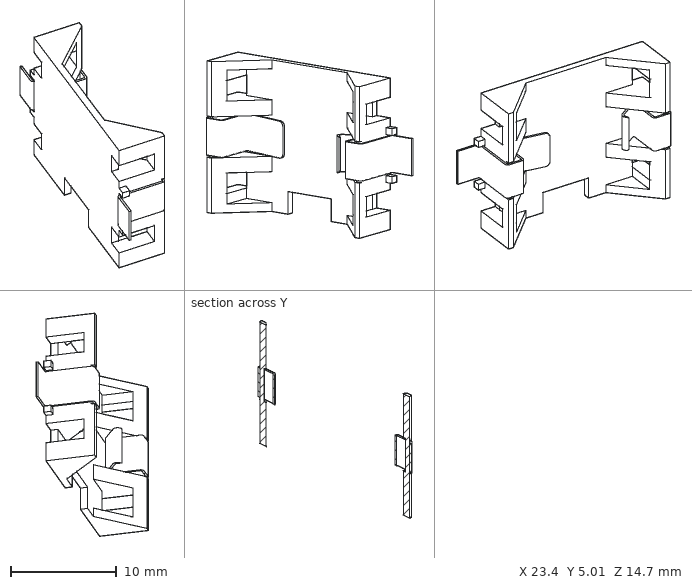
import cadquery as cq
import math


housing_width = 18.23
housing_depth = 4.81
housing_length = 14.72
floor_thickness = 0.72
wall_land = 0.54
wall_foot = 4.6

window_length = 1.99
window_centre_z = 4.49
window_top = 3.75

cheek_thickness = 0.86

edge_notch_width = 5.15
edge_notch_depth = 2.2

strip_thickness = 0.2
strip_width = 3.6
inner_bend_radius = 0.1
leg_reach = 1.82
left_tab_reach = 2.55
right_tab_reach = 2.6

hook_reach = 3.62
hook_height = 2.83
hook_radius = 0.35
hook_tip_radius = 0.23
hook_arm_angle = math.radians(35)

straight_arm_reach = 6.7
straight_arm_height = 1.61
straight_tip_radius = 0.5
straight_arm_angle = math.radians(9)

bay_length = 4.0
wall_edge_radius = 0.15
peg_reach = 0.77
peg_length = 0.65

face_x = housing_width / 2
wall_slope_run = (wall_foot - wall_land) / (housing_depth - floor_thickness)
wall_thickness = wall_land + (housing_depth - window_top) * wall_slope_run
half_strip = strip_thickness / 2
bend_radius = inner_bend_radius + half_strip
leg_x = -face_x + leg_reach - half_strip
peg_centre_z = (bay_length + peg_length) / 2


def box(x_range, y_range, z_range):
    """Axis-aligned block given by its limits along each axis."""
    lows, highs = zip(x_range, y_range, z_range)
    sizes = [high - low for low, high in zip(lows, highs)]
    return cq.Workplane("XY").box(*sizes, centered=False).translate(lows)


def around(centre, length):
    """Limits of a length centred on a position."""
    return (centre - length / 2, centre + length / 2)


def trough():
    """Floor with a sloped wall at each end, as one long profile."""
    half_profile = [
        (0, 0),
        (-face_x, 0),
        (-face_x, housing_depth),
        (-face_x + wall_land, housing_depth),
        (-face_x + wall_foot, floor_thickness),
        (0, floor_thickness),
    ]
    half = cq.Workplane("XY").polyline(half_profile).close().extrude(housing_length / 2, both=True)
    return half.union(half.mirror("YZ"))


def window_cuts(side):
    """One window through each end wall and its floor edge, and the wider hollow between the walls."""
    window_z = around(side * window_centre_z, window_length)
    middle_block_z = side * (window_centre_z - window_length / 2)
    cheek_z = side * (housing_length / 2 - cheek_thickness)
    hollow_x = (-face_x + wall_thickness, face_x - wall_thickness)
    hollow = box(hollow_x, (floor_thickness, housing_depth), sorted((middle_block_z, cheek_z)))
    left_window = box((-face_x, hollow_x[0]), (0, window_top), window_z)
    return hollow.union(left_window).union(left_window.mirror("YZ"))


def contact_bay_cut():
    """Room for the left contact: a lowered, round-edged wall top and the bay behind it."""
    z_range = around(0, bay_length)
    inner_x = -face_x + wall_land
    seat_y = housing_depth - strip_thickness
    bay = box((inner_x, -face_x + wall_foot), (floor_thickness, housing_depth), z_range)
    lowered_top = box((-face_x, inner_x), (seat_y, housing_depth), z_range)
    corner = box(
        (-face_x, -face_x + wall_edge_radius),
        (seat_y - wall_edge_radius, seat_y),
        z_range,
    )
    corner_round = (
        cq.Workplane("XY")
        .center(-face_x + wall_edge_radius, seat_y - wall_edge_radius)
        .circle(wall_edge_radius)
        .extrude(bay_length / 2, both=True)
    )
    return bay.union(lowered_top).union(corner.cut(corner_round))


def peg_pair(centre_z):
    """Pegs standing out from both ends of the floor."""
    peg_x = (-face_x - peg_reach, -face_x)
    peg = box(peg_x, (0, floor_thickness), around(centre_z, peg_length))
    return peg.union(peg.mirror("YZ"))


def make_housing():
    """Trough with windows, pegs, contact bays and one floor notch."""
    body = trough()
    for side in (-1, 1):
        body = body.cut(window_cuts(side)).union(peg_pair(side * peg_centre_z))

    bay = contact_bay_cut()
    body = body.cut(bay).cut(bay.mirror("YZ"))

    notch_z = (-housing_length / 2, -housing_length / 2 + edge_notch_depth)
    body = body.cut(box(around(0, edge_notch_width), (0, floor_thickness), notch_z))
    return body.solids()


def bent_path(corners):
    """Straight runs through the corners, joined by arcs of the bend radius."""
    points = [cq.Vector(*corner) for corner in corners]
    path = cq.Workplane("XY").moveTo(*corners[0])
    for before, corner, after in zip(points, points[1:], points[2:]):
        back = (before - corner).normalized()
        ahead = (after - corner).normalized()
        half_angle = back.getAngle(ahead) / 2
        setback = bend_radius / math.tan(half_angle)
        arc_start = corner + back * setback
        arc_end = corner + ahead * setback
        bisector = (back + ahead).normalized()
        arc_middle = corner + bisector * (bend_radius / math.sin(half_angle) - bend_radius)
        path = path.lineTo(arc_start.x, arc_start.y)
        path = path.threePointArc((arc_middle.x, arc_middle.y), (arc_end.x, arc_end.y))
    return path.lineTo(*corners[-1])


def clip_path(tab_reach, arm_end, arm_angle):
    """Middle line of a left-hand contact: tab, outer wall, top, hanging leg and rising arm."""
    top_y = housing_depth - half_strip
    foot_y = arm_end[1] - (arm_end[0] - leg_x) * math.tan(arm_angle)
    return bent_path([
        (-face_x - tab_reach, -half_strip),
        (-face_x - half_strip, -half_strip),
        (-face_x - half_strip, top_y),
        (leg_x, top_y),
        (leg_x, foot_y),
        arm_end,
    ])


def strip_along(path, tab_reach):
    """Sweep the flat strip section along a middle line that starts at the tab end."""
    tab_end = (-face_x - tab_reach, -half_strip, 0)
    return cq.Workplane("YZ", origin=tab_end).rect(strip_thickness, strip_width).sweep(path)


def round_tip(strip, tip, radius):
    """Round both corners of the free end whose middle is at the given X and Y."""
    for corner_z in around(0, strip_width):
        corner_edge = cq.NearestToPointSelector((*tip, corner_z))
        strip = strip.edges(corner_edge).fillet(radius)
    return strip.solids()


def make_hooked_contact():
    """Left contact, whose arm ends in a curled hook."""
    centre_x = -face_x + hook_reach
    arm_end = (
        centre_x + hook_radius * math.sin(hook_arm_angle),
        hook_height - hook_radius * math.cos(hook_arm_angle),
    )
    path = clip_path(left_tab_reach, arm_end, hook_arm_angle)
    tip = (centre_x, hook_height + hook_radius)
    path = path.threePointArc((centre_x + hook_radius, hook_height), tip)
    return round_tip(strip_along(path, left_tab_reach), tip, hook_tip_radius)


def make_straight_contact():
    """Right contact with a straight arm, laid out on the left and mirrored across."""
    arm_end = (-face_x + straight_arm_reach, straight_arm_height)
    path = clip_path(right_tab_reach, arm_end, straight_arm_angle)
    strip = strip_along(path, right_tab_reach)
    return round_tip(strip, arm_end, straight_tip_radius).mirror("YZ")


housing = make_housing()
hooked_contact = make_hooked_contact()
straight_contact = make_straight_contact()

result = cq.Compound.makeCompound([
    housing.val(),
    hooked_contact.val(),
    straight_contact.val(),
])